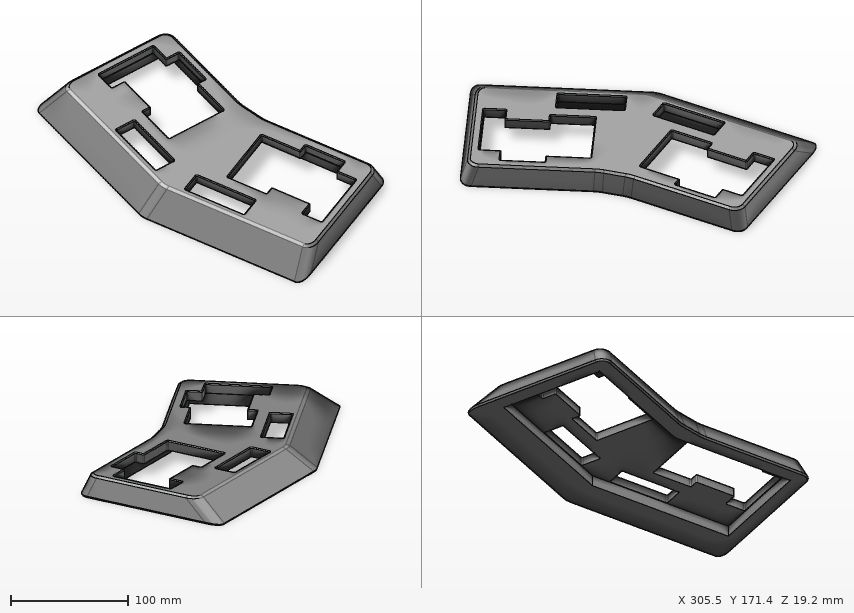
import cadquery as cq
import math

SPLAY = math.radians(12)
HEIGHT = 19.2

SIDE_OUT = 159.5
LEFT_REAR_BACK = 144.5
RIGHT_REAR_BACK = 146.0
BRIDGE_Y = 151.0
FRONT_SLOPE = math.radians(35)
SIDE_SLOPE = math.radians(70)
CORNER_RADIUS = 10.7
BEND_RADIUS = 39.7
RIM_CHAMFER = 1.8

COLUMN_LENGTH = 57.0
COLUMN_EDGES = [48.2, 86.7, 125.2, 144.0]
COLUMN_FRONTS = [64, 72.7, 59.2]
THUMB_OUT = 24.5
THUMB_BACK = 33.3
THUMB_LENGTH = 58
THUMB_WIDTH = 19.0
WINDOW_RADIUS = 1.05
WINDOW_CHAMFER = 1.0

PLATE_THICKNESS = 9.0
HOLLOW_SETBACK = 0.5
HOLLOW_OUT = COLUMN_EDGES[-1] + HOLLOW_SETBACK
HOLLOW_FRONT = THUMB_BACK - HOLLOW_SETBACK
HOLLOW_REAR = max(COLUMN_FRONTS) + COLUMN_LENGTH + HOLLOW_SETBACK


def half_point(out, back):
    """XY position of a point given in the frame of the +X half."""
    x = out * math.cos(SPLAY) - back * math.sin(SPLAY)
    y = out * math.sin(SPLAY) + back * math.cos(SPLAY)
    return x, y


def mirrored(points):
    """Reflect points across X = 0."""
    return [(-x, y) for x, y in points]


def body_outline(z):
    """Sharp body outline at height z, counterclockwise from the front bend."""
    front = z / math.tan(FRONT_SLOPE)
    inset = z / math.tan(SIDE_SLOPE)
    side = SIDE_OUT - inset
    bridge_y = BRIDGE_Y - inset

    def half_outline(rear):
        bridge_x = (bridge_y - rear / math.cos(SPLAY)) / math.tan(SPLAY)
        return [half_point(side, front), half_point(side, rear), (bridge_x, bridge_y)]

    front_bend = (0, front / math.cos(SPLAY))
    right = half_outline(RIGHT_REAR_BACK - inset)
    left = mirrored(half_outline(LEFT_REAR_BACK - inset))
    return [cq.Vector(x, y, z) for x, y in [front_bend] + right + left[::-1]]


def polygon_face(points):
    return cq.Face.makeFromWires(cq.Wire.makePolygon(points, close=True))


def make_body():
    base = body_outline(0)
    top = body_outline(HEIGHT)
    faces = [polygon_face(base), polygon_face(top)]
    for i in range(len(base)):
        j = (i + 1) % len(base)
        faces.append(polygon_face([base[i], base[j], top[j], top[i]]))
    body = cq.Workplane(cq.Solid.makeSolid(cq.Shell.makeShell(faces)))

    slanted = body.edges("not #Z").vals()
    corners = [e for e in slanted if abs(e.Center().x) > SIDE_OUT / 2]
    body = body.newObject(corners).fillet(CORNER_RADIUS)
    slanted = body.edges("%LINE and (not #Z)").vals()
    bends = [e for e in slanted if abs(e.Center().x) < SIDE_OUT / 2]
    body = body.newObject(bends).fillet(BEND_RADIUS)
    return body.faces("<Z or >Z").edges().chamfer(RIM_CHAMFER)


def window_cutter(points):
    outline = [half_point(*p) for p in points]
    cutter = cq.Workplane().polyline(outline).close().extrude(2 * HEIGHT)
    return cutter.edges("|Z").fillet(WINDOW_RADIUS)


def key_window_points():
    """Stepped outline around three staggered key columns."""
    front_side = []
    rear_side = []
    for i, front in enumerate(COLUMN_FRONTS):
        for edge in COLUMN_EDGES[i:i + 2]:
            front_side.append((edge, front))
            rear_side.append((edge, front + COLUMN_LENGTH))
    return front_side + rear_side[::-1]


def thumb_window_points():
    end_out = THUMB_OUT + THUMB_LENGTH
    end_back = THUMB_BACK + THUMB_WIDTH
    return [(THUMB_OUT, THUMB_BACK), (end_out, THUMB_BACK), (end_out, end_back), (THUMB_OUT, end_back)]


def make_hollow():
    front_bend = (0, HOLLOW_FRONT / math.cos(SPLAY))
    rear_bend = (0, HOLLOW_REAR / math.cos(SPLAY))
    right = [half_point(HOLLOW_OUT, HOLLOW_FRONT), half_point(HOLLOW_OUT, HOLLOW_REAR)]
    outline = [front_bend] + right + [rear_bend] + mirrored(right)[::-1]
    return cq.Workplane().polyline(outline).close().extrude(HEIGHT - PLATE_THICKNESS)


case = make_body().cut(make_hollow())
for window_points in (key_window_points(), thumb_window_points()):
    window = window_cutter(window_points)
    case = case.cut(window).cut(window.mirror("YZ"))

top_face = case.faces(">Z").val()
window_rims = [edge for wire in top_face.innerWires() for edge in wire.Edges()]
result = case.newObject(window_rims).chamfer(WINDOW_CHAMFER)